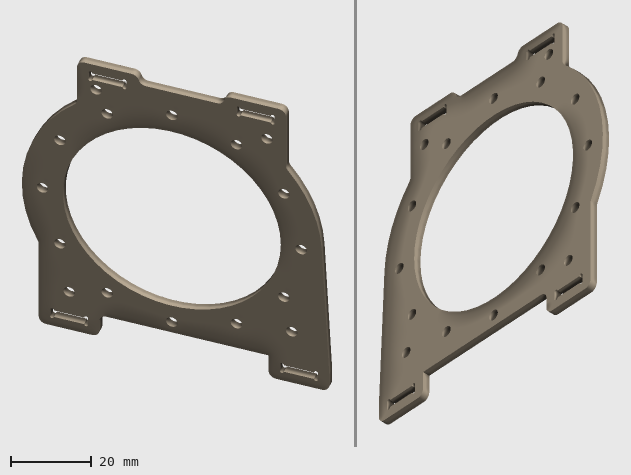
import cadquery as cq
import math

height = 89.2
thickness = 2.1
half_height = height / 2

ring_radius = 39.5
bore_radius = 28.7
bolt_circle_radius = 34.1
bolt_count = 12
hole_diameter = 3.0

slot_length = 10.1
slot_width = 2.1
relief_radius = 0.5
slot_margin = 2.9
tab_width = slot_length + 2 * slot_margin
slot_height = half_height - slot_margin - slot_width / 2

upper_left = -25.0
upper_right = 30.1
lower_left = -35.1
lower_right = 41.5
slope_foot = -38.8

upper_notch_depth = 2.9
upper_notch_floor = 18.7
lower_notch_depth = 7.1
lower_notch_top = lower_notch_depth - half_height
lower_notch_left = lower_left + tab_width
lower_notch_right = lower_right - tab_width
corner_radius = 2.0

mounting_holes = [(-20.0, 36.6), (25.1, 33.8), (-27.0, -32.2), (31.6, -27.8)]


def plate_sketch():
    """XZ workplane on the front face; a negative extrusion goes toward +Y."""
    return cq.Workplane("XZ", origin=(0, -thickness / 2, 0))


def block(x_min, x_max, z_min, z_max):
    """Rectangular plate between the given limits."""
    sketch = plate_sketch().center((x_min + x_max) / 2, (z_min + z_max) / 2)
    return sketch.rect(x_max - x_min, z_max - z_min).extrude(-thickness)


def lower_plate():
    """Lower half, with a right side sloping tangentially from the ring out to a short vertical edge."""
    tangent_angle = math.atan2(slope_foot, lower_right) + math.acos(
        ring_radius / math.hypot(lower_right, slope_foot)
    )
    tangent_point = (ring_radius * math.cos(tangent_angle), ring_radius * math.sin(tangent_angle))
    corners = [
        (0, 0),
        (lower_left, 0),
        (lower_left, -half_height),
        (lower_right, -half_height),
        (lower_right, slope_foot),
        tangent_point,
    ]
    return plate_sketch().polyline(corners).close().extrude(-thickness)


def upper_notch():
    """Cutter whose ends are S-curves of two equal tangent arcs."""
    sweep = math.acos(1 - upper_notch_depth / (2 * corner_radius))
    arc_run = corner_radius * math.sin(sweep)
    half_run = corner_radius * math.sin(sweep / 2)
    half_drop = corner_radius * (1 - math.cos(sweep / 2))
    floor = half_height - upper_notch_depth
    middle = half_height - upper_notch_depth / 2
    center = (upper_left + upper_right) / 2
    start = center - upper_notch_floor / 2 - 2 * arc_run
    end = center + upper_notch_floor / 2 + 2 * arc_run
    return (
        plate_sketch()
        .moveTo(start, half_height)
        .threePointArc((start + half_run, half_height - half_drop), (start + arc_run, middle))
        .threePointArc((start + 2 * arc_run - half_run, floor + half_drop), (start + 2 * arc_run, floor))
        .lineTo(end - 2 * arc_run, floor)
        .threePointArc((end - 2 * arc_run + half_run, floor + half_drop), (end - arc_run, middle))
        .threePointArc((end - half_run, half_height - half_drop), (end, half_height))
        .close()
        .extrude(-thickness)
    )


def strap_slot(x, z):
    """Slot cutter with a round relief in each corner, tangent to the slot end."""
    slot = block(x - slot_length / 2, x + slot_length / 2, z - slot_width / 2, z + slot_width / 2)
    reliefs = (
        plate_sketch()
        .center(x, z)
        .rect(slot_length - 2 * relief_radius, slot_width, forConstruction=True)
        .vertices()
        .circle(relief_radius)
        .extrude(-thickness)
    )
    return slot.union(reliefs)


plate = (
    plate_sketch()
    .circle(ring_radius)
    .extrude(-thickness)
    .union(block(upper_left, upper_right, 0, half_height))
    .union(lower_plate())
    .cut(block(lower_notch_left, lower_notch_right, -half_height, lower_notch_top))
)

rounded_corners = [
    (upper_left, half_height),
    (upper_right, half_height),
    (lower_left, -half_height),
    (lower_right, -half_height),
    (lower_notch_left, -half_height),
    (lower_notch_right, -half_height),
    (lower_notch_left, lower_notch_top),
    (upper_left, math.sqrt(ring_radius**2 - upper_left**2)),
    (upper_right, math.sqrt(ring_radius**2 - upper_right**2)),
    (lower_left, -math.sqrt(ring_radius**2 - lower_left**2)),
]
for x, z in rounded_corners:
    corner_edge = cq.selectors.NearestToPointSelector((x, 0, z))
    plate = plate.edges("|Y").edges(corner_edge).fillet(corner_radius)

plate = plate.cut(upper_notch())

bolt_holes = plate_sketch().polarArray(bolt_circle_radius, 0, 360, bolt_count)
plate = plate.cut(plate_sketch().circle(bore_radius).extrude(-thickness))
plate = plate.cut(bolt_holes.circle(hole_diameter / 2).extrude(-thickness))
plate = plate.cut(plate_sketch().pushPoints(mounting_holes).circle(hole_diameter / 2).extrude(-thickness))

slot_centers = [
    (upper_left + tab_width / 2, slot_height),
    (upper_right - tab_width / 2, slot_height),
    (lower_left + tab_width / 2, -slot_height),
    (lower_right - tab_width / 2, -slot_height),
]
for x, z in slot_centers:
    plate = plate.cut(strap_slot(x, z))

result = plate